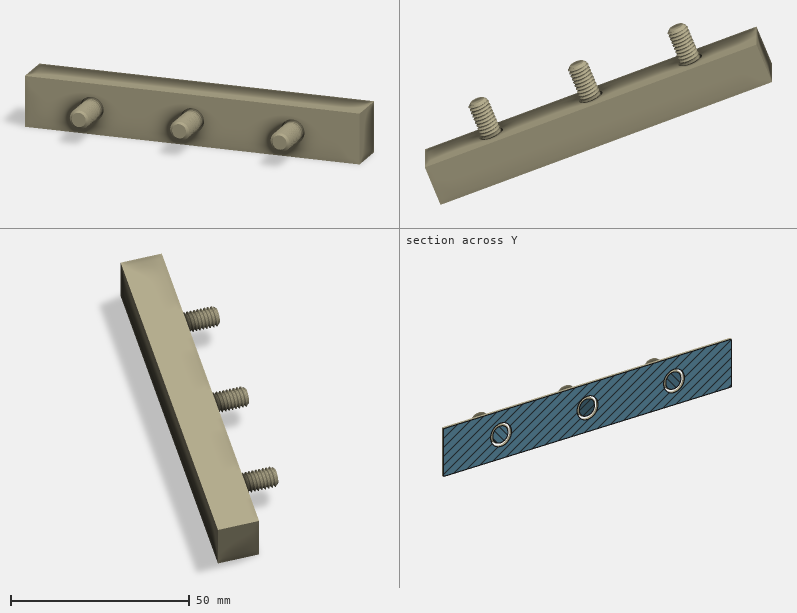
import cadquery as cq
import math

BAR_LENGTH = 100.0
BAR_DEPTH = 12.0
BAR_HEIGHT = 15.0

STUD_COUNT = 3
STUD_SPACING = 30.0
STUD_DIAMETER = 6.0
STUD_LENGTH = 20.0
STUD_PROJECTION = 10.7
STUD_INSERTION = STUD_LENGTH - STUD_PROJECTION
STUD_TIP_DIAMETER = 4.2
TIP_CHAMFER = (STUD_DIAMETER - STUD_TIP_DIAMETER) / 2

THREAD_PITCH = 1.0
THREAD_HALF_ANGLE = 30.0
CREST_WIDTH = THREAD_PITCH / 8
ROOT_WIDTH = THREAD_PITCH / 4
GROOVE_WIDTH = THREAD_PITCH - CREST_WIDTH
FLANK_SLOPE = math.tan(math.radians(THREAD_HALF_ANGLE))
THREAD_DEPTH = (GROOVE_WIDTH - ROOT_WIDTH) / 2 / FLANK_SLOPE
THREAD_START_DEPTH = 1.25
CUTTER_OVERLAP = 0.1

COUNTERBORE_DIAMETER = 7.1
COUNTERBORE_DEPTH = 2.0

STUD_POSITIONS = [(i - (STUD_COUNT - 1) / 2) * STUD_SPACING for i in range(STUD_COUNT)]


def place_on_front(shape, x):
    """Turn a shape built along +Z so that it points along -Y, then move it to x."""
    return shape.rotate((0, 0, 0), (1, 0, 0), 90).translate((x, 0, 0))


def make_thread_groove():
    """Helical groove from inside the counterbore to beyond the stud tip."""
    radius = STUD_DIAMETER / 2
    height = STUD_PROJECTION + THREAD_PITCH + THREAD_START_DEPTH
    half_root = ROOT_WIDTH / 2
    half_mouth = GROOVE_WIDTH / 2 + CUTTER_OVERLAP * FLANK_SLOPE
    profile = (
        cq.Workplane("XZ")
        .moveTo(radius - THREAD_DEPTH, -half_root)
        .lineTo(radius + CUTTER_OVERLAP, -half_mouth)
        .lineTo(radius + CUTTER_OVERLAP, half_mouth)
        .lineTo(radius - THREAD_DEPTH, half_root)
        .close()
    )
    helix = cq.Workplane(obj=cq.Wire.makeHelix(THREAD_PITCH, height, radius))
    return profile.sweep(helix, isFrenet=True).translate((0, 0, -THREAD_START_DEPTH))


def make_stud():
    """Stud along +Z: plain shank below the counterbore floor, thread above it."""
    blank = (
        cq.Workplane("XY")
        .workplane(offset=-STUD_INSERTION)
        .circle(STUD_DIAMETER / 2)
        .extrude(STUD_INSERTION + STUD_PROJECTION)
        .faces(">Z")
        .chamfer(TIP_CHAMFER)
    )
    return blank.cut(make_thread_groove())


def make_hole_cutter():
    """Blind hole fitting the shank, with its counterbore, opening at Z = 0."""
    shank_hole = cq.Workplane("XY").circle(STUD_DIAMETER / 2).extrude(-STUD_INSERTION)
    counterbore = cq.Workplane("XY").circle(COUNTERBORE_DIAMETER / 2).extrude(-COUNTERBORE_DEPTH)
    return shank_hole.union(counterbore)


def make_bar():
    bar = cq.Workplane("XY").box(BAR_LENGTH, BAR_DEPTH, BAR_HEIGHT).translate((0, BAR_DEPTH / 2, 0))
    hole = make_hole_cutter()
    for x in STUD_POSITIONS:
        bar = bar.cut(place_on_front(hole, x))
    return bar


bar = make_bar()
stud = make_stud()
studs = [place_on_front(stud, x).solids().val() for x in STUD_POSITIONS]

result = cq.Compound.makeCompound([bar.val(), *studs])